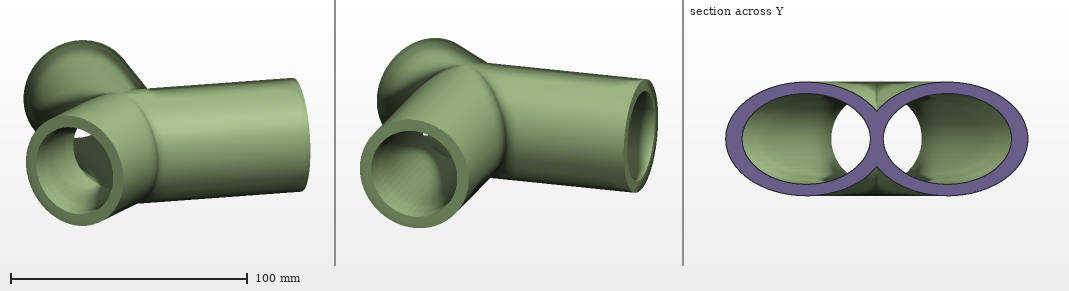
import cadquery as cq
import math

overall_width = 141.9
overall_depth = 109.0
outer_diameter = 48.2
bore_diameter = 38.2
branch_angle = 45.0

outer_radius = outer_diameter / 2
sin_branch = math.sin(math.radians(branch_angle))
cos_branch = math.cos(math.radians(branch_angle))
branch_length = (overall_width / 2 - outer_radius * cos_branch) / sin_branch

branch_reach_y = branch_length * cos_branch + outer_radius * sin_branch
stem_length = overall_depth - branch_reach_y

legs = [
    (cq.Vector(0, -1, 0), stem_length),
    (cq.Vector(-sin_branch, cos_branch, 0), branch_length),
    (cq.Vector(sin_branch, cos_branch, 0), branch_length),
]


def joined_legs(diameter):
    """Union of solid cylinders of one diameter along all three legs."""
    cylinders = [
        cq.Workplane(cq.Solid.makeCylinder(diameter / 2, length, cq.Vector(0, 0, 0), direction))
        for direction, length in legs
    ]
    stem, left_branch, right_branch = cylinders
    return stem.union(left_branch).union(right_branch)


result = joined_legs(outer_diameter).cut(joined_legs(bore_diameter))